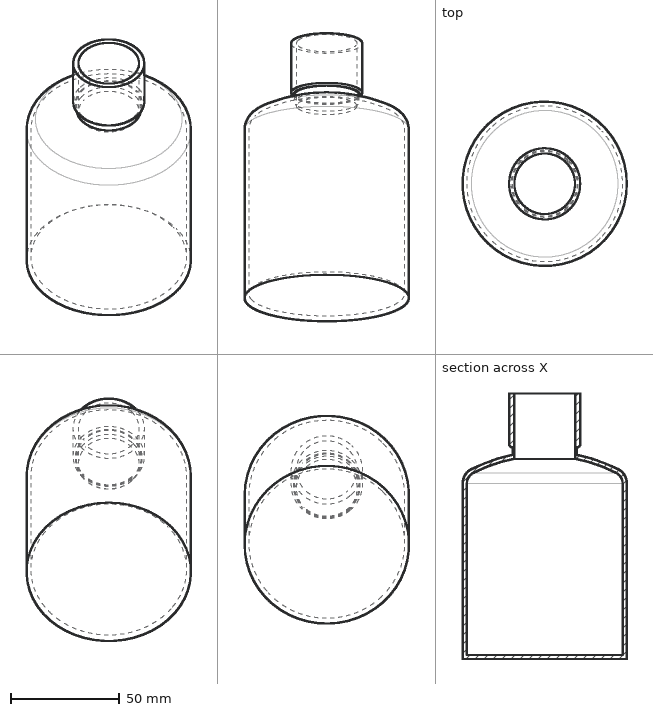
import cadquery as cq
import math

total_height = 123.0
body_radius = 76.1 / 2
cavity_radius = 72.1 / 2
neck_radius = 30.0 / 2
bore_radius = 28.0 / 2
collar_radius = 33.0 / 2
collar_height = 25.0
collar_chamfer = 1.0
body_side_height = 81.3
shoulder_edge_radius = 7.5
dome_radius = 75.0

wall = body_radius - cavity_radius
collar_bottom = total_height - collar_height
edge_center_x = body_radius - shoulder_edge_radius
dome_center_z = body_side_height - math.sqrt((dome_radius - shoulder_edge_radius) ** 2 - edge_center_x**2)


def dome_height(sphere_radius, x):
    """Height of a sphere about the dome centre at distance x from the axis."""
    return dome_center_z + math.sqrt(sphere_radius**2 - x**2)


def bottle_body(inset, floor, opening_radius):
    """Solid of the body and shoulder, with its wall and shoulder moved inward by inset."""
    edge_radius = shoulder_edge_radius - inset
    sphere_radius = dome_radius - inset

    tilt = math.asin(edge_center_x / (dome_radius - shoulder_edge_radius))

    def edge_point(angle):
        return (
            edge_center_x + edge_radius * math.sin(angle),
            body_side_height + edge_radius * math.cos(angle),
        )

    def dome_point(x):
        return (x, dome_height(sphere_radius, x))

    joint = edge_point(tilt)
    dome_end = dome_point(opening_radius)
    return (
        cq.Workplane("XZ")
        .moveTo(0, floor)
        .lineTo(body_radius - inset, floor)
        .lineTo(body_radius - inset, body_side_height)
        .threePointArc(edge_point((tilt + math.pi / 2) / 2), joint)
        .threePointArc(dome_point((joint[0] + opening_radius) / 2), dome_end)
        .lineTo(0, dome_end[1])
        .close()
        .revolve(360, (0, 0, 0), (0, 1, 0))
    )


def cylinder(radius, bottom, top):
    return cq.Workplane("XY").workplane(offset=bottom).circle(radius).extrude(top - bottom)


neck = cylinder(neck_radius, body_side_height, total_height)
collar = cylinder(collar_radius, collar_bottom, total_height).faces("<Z").edges().chamfer(collar_chamfer)
outside = bottle_body(0, 0, neck_radius).union(neck).union(collar)

cavity = bottle_body(wall, wall, bore_radius)
bore = cylinder(bore_radius, body_side_height, total_height)

result = outside.cut(cavity.union(bore))